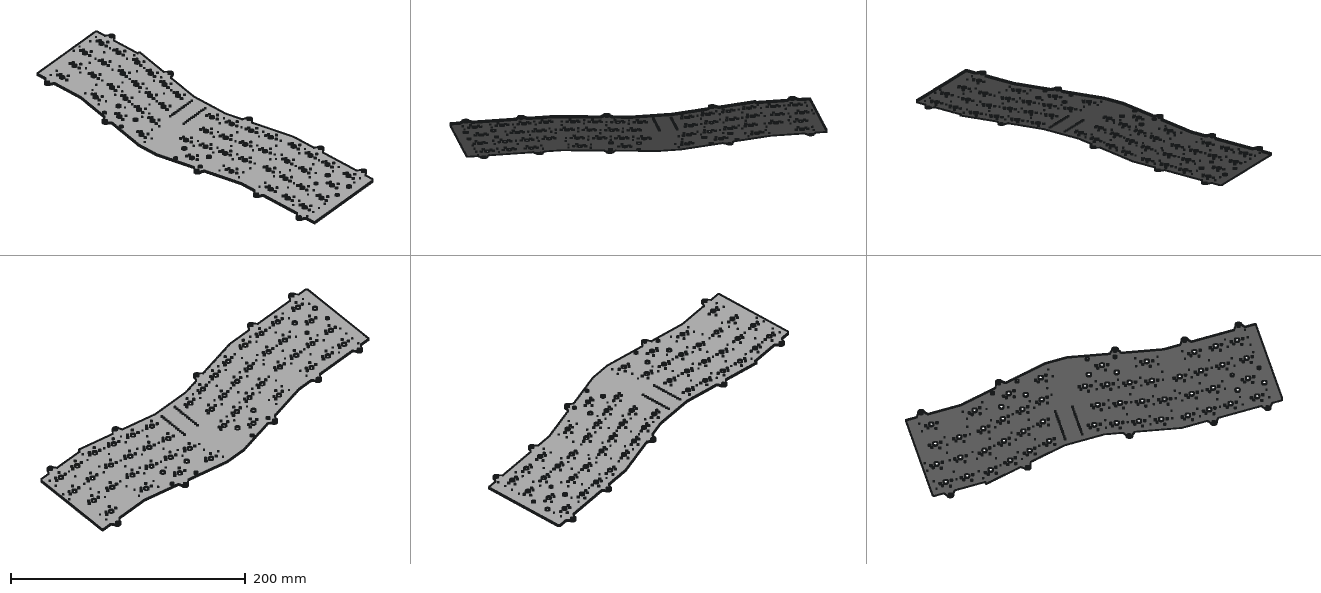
import cadquery as cq
import math


length = 312.2
half_depth = 50.0
thickness = 1.6
straight_top = 44.3
straight_bottom = -32.8
bridge_top = 30.5
corner_radius = 1.5
tilt = 12.0
left_block_top = 22.8
left_block_bottom = -54.3
left_block_side = -116.5
right_block_top = 29.7
right_block_bottom = -47.5

pitch = 19.0
grid = pitch / 15
stem_diameter = 4.0
peg_diameter = 1.75
pin_diameter = 1.47
pegs = [(-4 * grid, 0), (4 * grid, 0)]
pins = [(-3 * grid, 2 * grid), (2 * grid, 4 * grid)]

stabilizer_offset = 9.4 * grid
stabilizer_top = 6.5 * grid
stabilizer_bottom = -5.5 * grid
stabilizer_top_diameter = stem_diameter
stabilizer_bottom_diameter = 3.05

diode_diameter = 0.7
diode_span = 6 * grid
diode_step = -3 * grid
LEFT = (-pitch / 2, 0)
RIGHT = (pitch / 2, 0)
LEFT_LOW = (-pitch / 2, diode_step)
RIGHT_LOW = (pitch / 2, diode_step)
lone_diode = (146.0, -11.5)

header_center = (-24.5, 11.0)
header_pin_diameter = 1.1
header_pins_per_column = 12
header_pitch = 2 * grid
header_width = 12 * grid

tab_radius = 2.8
tab_foot = 5.0
tab_reach = 2.8
tab_hole_diameter = 2.5
tab_overlap = 1.0

straight_block = (0, 34.5, [
    [(-141.5, [LEFT]), (-122.5, [LEFT_LOW]),
     (74.5, [RIGHT]), (93.7, [RIGHT_LOW]), (112.7, [RIGHT]), (136.5, [RIGHT])],
    [(-143.5, [LEFT]), (-122.5, [LEFT_LOW]),
     (84.0, [LEFT]), (103.0, [LEFT_LOW, RIGHT]), (134.3, [])],
    [(-139.0, [RIGHT]), (-117.5, [RIGHT_LOW]),
     (79.3, [RIGHT]), (98.5, [RIGHT_LOW]), (117.5, [RIGHT]), (139.0, [])],
    [(-136.5, [LEFT]), (98.5, [LEFT]), (117.5, [RIGHT]), (136.5, [RIGHT_LOW])],
])
left_block = (-tilt, 12.8, [
    [(-106.5, [LEFT]), (-87.5, [LEFT_LOW]), (-68.5, [LEFT]), (-49.3, [LEFT_LOW])],
    [(-101.8, [LEFT]), (-82.7, [LEFT_LOW]), (-63.7, [LEFT]), (-44.5, [LEFT_LOW])],
    [(-92.0, [RIGHT]), (-73.0, [RIGHT_LOW]), (-54.0, [RIGHT]), (-35.0, [RIGHT_LOW])],
    [(-90.0, [LEFT, RIGHT]), (-56.5, []), (-25.3, [RIGHT])],
])
right_block = (tilt, 19.7, [
    [(0.0, [RIGHT]), (19.0, [RIGHT_LOW]), (38.0, [RIGHT]), (57.0, [RIGHT_LOW])],
    [(4.7, [RIGHT]), (23.7, [RIGHT_LOW]), (42.8, [RIGHT]), (61.8, [RIGHT_LOW])],
    [(-4.5, [RIGHT]), (14.7, [RIGHT]), (33.7, [RIGHT]), (52.8, [RIGHT_LOW])],
    [(12.0, []), (50.3, [LEFT, RIGHT])],
])

stabilized_keys = [(0, 134.3, 15.3), (-tilt, -56.5, -44.3), (tilt, 12.0, -37.5)]

tabs = [
    (0, -141.5, straight_top, 1),
    (0, 93.7, straight_top, 1),
    (0, 141.7, straight_top, 1),
    (0, -141.5, straight_bottom, -1),
    (0, 93.7, straight_bottom, -1),
    (0, 141.7, straight_bottom, -1),
    (-tilt, -77.7, left_block_top, 1),
    (-tilt, -59.0, left_block_bottom, -1),
    (tilt, 28.7, right_block_top, 1),
    (tilt, 24.5, right_block_bottom, -1),
]


def turned(x, y, angle):
    """Point (x, y) of a frame turned about the origin, in board coordinates."""
    c = math.cos(math.radians(angle))
    s = math.sin(math.radians(angle))
    return x * c - y * s, x * s + y * c


def on_edge(edge_height, angle, y):
    """Point at board height y on a tilted block's top or bottom edge."""
    c = math.cos(math.radians(angle))
    s = math.sin(math.radians(angle))
    return (y * c - edge_height) / s, y


def make_board():
    half = length / 2
    shoulder = turned(left_block_side, left_block_top, -tilt)
    shoulder_drop = (shoulder[1] - straight_top) * math.tan(math.radians(tilt))
    outline = [
        (-half, straight_bottom),
        on_edge(left_block_bottom, -tilt, straight_bottom),
        on_edge(left_block_bottom, -tilt, -half_depth),
        on_edge(right_block_bottom, tilt, -half_depth),
        on_edge(right_block_bottom, tilt, straight_bottom),
        (half, straight_bottom),
        (half, straight_top),
        on_edge(right_block_top, tilt, straight_top),
        on_edge(right_block_top, tilt, bridge_top),
        on_edge(left_block_top, -tilt, bridge_top),
        shoulder,
        (shoulder[0] - shoulder_drop, straight_top),
        (-half, straight_top),
    ]
    board = cq.Workplane("XY").polyline(outline).close().extrude(thickness)
    return board.edges("|Z and (<X or >X)").edges(">Y").fillet(corner_radius)


def make_tab(angle, x, edge_height, direction):
    """Round-ended tab that widens towards the board edge."""
    tab = (
        cq.Workplane("XY")
        .moveTo(tab_foot, -tab_overlap)
        .lineTo(tab_foot, 0)
        .lineTo(tab_radius, tab_reach)
        .threePointArc((0, tab_reach + tab_radius), (-tab_radius, tab_reach))
        .lineTo(-tab_foot, 0)
        .lineTo(-tab_foot, -tab_overlap)
        .close()
        .extrude(thickness)
    )
    turn = angle if direction > 0 else angle + 180
    return tab.rotate((0, 0, 0), (0, 0, 1), turn).translate((*turned(x, edge_height, angle), 0))


def drill(board, diameter, points):
    drills = cq.Workplane("XY").pushPoints(points).circle(diameter / 2).extrude(thickness)
    return board.cut(drills)


def diode_holes(x, y, angle):
    return [turned(x, y + end * diode_span / 2, angle) for end in (-1, 1)]


def drill_keys(board):
    stem_points = []
    peg_points = []
    pin_points = []
    diode_points = diode_holes(*lone_diode, 0)
    for angle, top_row, rows in (straight_block, left_block, right_block):
        for row_number, row in enumerate(rows):
            y = top_row - row_number * pitch
            for x, diodes in row:
                stem_points.append(turned(x, y, angle))
                peg_points += [turned(x + dx, y + dy, angle) for dx, dy in pegs]
                pin_points += [turned(x + dx, y + dy, angle) for dx, dy in pins]
                for dx, dy in diodes:
                    diode_points += diode_holes(x + dx, y + dy, angle)
    board = drill(board, stem_diameter, stem_points)
    board = drill(board, peg_diameter, peg_points)
    board = drill(board, pin_diameter, pin_points)
    return drill(board, diode_diameter, diode_points)


def drill_stabilizers(board):
    top_points = []
    bottom_points = []
    for angle, x, y in stabilized_keys:
        for side in (-1, 1):
            post_x = x + side * stabilizer_offset
            top_points.append(turned(post_x, y + stabilizer_top, angle))
            bottom_points.append(turned(post_x, y + stabilizer_bottom, angle))
    board = drill(board, stabilizer_top_diameter, top_points)
    return drill(board, stabilizer_bottom_diameter, bottom_points)


def drill_header(board):
    center_x, center_y = header_center
    middle_pin = (header_pins_per_column - 1) / 2
    points = [
        (center_x + side * header_width / 2, center_y + (pin - middle_pin) * header_pitch)
        for side in (-1, 1)
        for pin in range(header_pins_per_column)
    ]
    return drill(board, header_pin_diameter, points)


def drill_tabs(board):
    points = [
        turned(x, edge_height + direction * tab_reach, angle)
        for angle, x, edge_height, direction in tabs
    ]
    return drill(board, tab_hole_diameter, points)


result = make_board()
for tab in tabs:
    result = result.union(make_tab(*tab))
result = drill_tabs(result)
result = drill_keys(result)
result = drill_stabilizers(result)
result = drill_header(result)